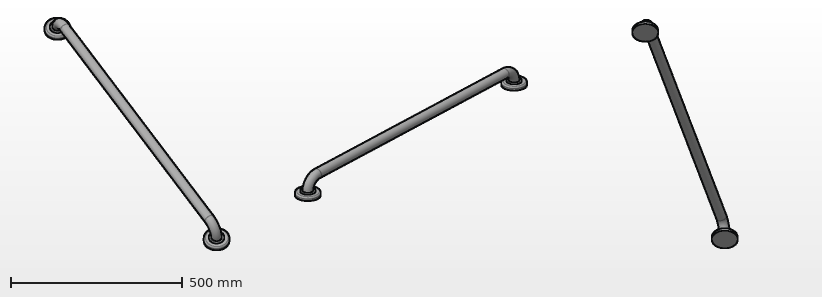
import cadquery as cq

overall_length = 991.0
overall_height = 70.0
tube_diameter = 32.0
bend_radius = 42.0
flange_diameter = 76.0
flange_height = 13.0
flange_rounding = 5.0
collar_radius = 23.0
collar_height = 16.0
collar_rounding = 2.0

flange_radius = flange_diameter / 2
tube_radius = tube_diameter / 2
post_x = overall_length / 2 - flange_radius
rail_z = overall_height - tube_radius
bend_start_z = rail_z - bend_radius
rail_end_x = post_x - bend_radius


def make_rail():
    """Round bar: two short posts, quarter bends and a straight rail."""
    path = (
        cq.Workplane("XZ")
        .moveTo(-post_x, 0)
        .lineTo(-post_x, bend_start_z)
        .tangentArcPoint((-rail_end_x, rail_z), relative=False)
        .lineTo(rail_end_x, rail_z)
        .tangentArcPoint((post_x, bend_start_z), relative=False)
        .lineTo(post_x, 0)
    )
    return cq.Workplane("XY").center(-post_x, 0).circle(tube_radius).sweep(path)


def make_flange(center_x):
    """Round mounting flange with a rounded shoulder and a raised, rounded collar."""
    base = cq.Workplane("XY").circle(flange_radius).extrude(flange_height)
    base = base.faces(">Z").edges().fillet(flange_rounding)
    collar = cq.Workplane("XY").circle(collar_radius).extrude(collar_height)
    collar = collar.faces(">Z").edges().fillet(collar_rounding)
    return base.union(collar).translate((center_x, 0, 0))


result = make_rail()
for side in (-1, 1):
    result = result.union(make_flange(side * post_x))